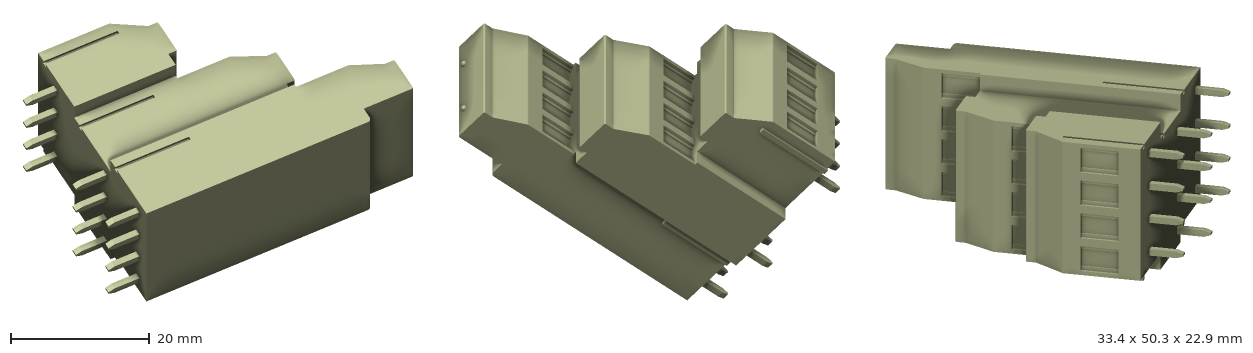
import cadquery as cq


POLES = 4
POLE_PITCH = 5.1
HOUSING_WIDTH = 33.4
MODULE_COUNT = 3
MODULE_PITCH = 11.15
TALL_TOP = 44.75
TIER_RISE = 13.45

MODULE_HEIGHT = POLES * POLE_PITCH
MIDDLE_DROP = POLE_PITCH / 2

CROWN_START = 3.0
CROWN_PITCH = 11.0
CROWN_WIDTH = 5.9
LEDGE_DROP = 1.4
SLOPE_TOP_DROP = 1.55
SLOPE_FOOT_DROP = 6.35
SHOULDER_INSET = 0.5
BACK_SHOULDER_Y = 36.65
CROWN_ROUND = 0.25
SLOPE_FOOT_ROUND = 0.4
BACK_SHOULDER_ROUND = 0.6

WINDOW_DROP = 9.0
WINDOW_LENGTH = 5.7
WINDOW_HEIGHT = 3.8
WINDOW_DEPTH = 0.5
INNER_WINDOW_HEIGHT = 2.7
INNER_WINDOW_DEPTH = 0.75

DOVETAIL_CENTER = 2.0
DOVETAIL_LENGTH = 12.0
DOVETAIL_NECK = 0.55
DOVETAIL_WIDE = 0.85
DOVETAIL_HEIGHT = 0.6
DOVETAIL_LIP = 0.15

PIN_COLUMNS = (5.45, 20.7, 30.8)
PIN_WIDTH = 1.0
PIN_LENGTH = 5.05
PIN_TIP_LENGTH = 1.0
PIN_TIP_HEIGHT = 0.35

NUB_X = 29.55
NUB_RADIUS = 0.5
NUB_POLES = (1, 3)


def module_left(index):
    return index * MODULE_PITCH


def module_floor(index):
    return -MIDDLE_DROP if index == 1 else 0.0


def crown_top(index):
    return TALL_TOP - (MODULE_COUNT - 1 - index) * TIER_RISE


def ledge_y(index):
    return crown_top(index) - LEDGE_DROP


def wall_x(index):
    """X of the window wall, set back where it rises above a neighbouring ledge."""
    return module_left(index) + (SHOULDER_INSET if index > 0 else 0.0)


def pole_center(index, pole):
    return module_floor(index) + (pole + 0.5) * POLE_PITCH


def box(x_range, y_range, z_range):
    (x0, x1), (y0, y1), (z0, z1) = x_range, y_range, z_range
    return cq.Workplane("XY").box(x1 - x0, y1 - y0, z1 - z0, centered=False).translate((x0, y0, z0))


def round_edge(body, x, y, radius):
    """Round the single vertical edge at (x, y)."""
    reach = 0.05
    low, high = -2 * MODULE_HEIGHT, 2 * MODULE_HEIGHT
    selector = cq.selectors.BoxSelector((x - reach, y - reach, low), (x + reach, y + reach, high))
    return body.edges("|Z").edges(selector).fillet(radius)


def housing_module(index):
    left = module_left(index)
    wall = wall_x(index)
    top = crown_top(index)
    crown_left = CROWN_START + index * CROWN_PITCH
    crown_right = crown_left + CROWN_WIDTH
    is_last = index == MODULE_COUNT - 1
    right = HOUSING_WIDTH if is_last else left + MODULE_PITCH
    shoulder = BACK_SHOULDER_Y if is_last else ledge_y(index)

    points = [(left, 0)]
    if index > 0:
        points += [(left, ledge_y(index - 1)), (wall, ledge_y(index - 1))]
    points += [
        (wall, top - SLOPE_FOOT_DROP),
        (crown_left, top - SLOPE_TOP_DROP),
        (crown_left, top),
        (crown_right, top),
        (crown_right, shoulder),
        (right, shoulder),
        (right, 0),
    ]
    body = cq.Workplane("XY").polyline(points).close().extrude(MODULE_HEIGHT)
    body = round_edge(body, wall, top - SLOPE_FOOT_DROP, SLOPE_FOOT_ROUND)
    body = round_edge(body, crown_left, top, CROWN_ROUND)
    body = round_edge(body, crown_right, top, CROWN_ROUND)
    if is_last:
        body = round_edge(body, right, shoulder, BACK_SHOULDER_ROUND)
    return body.translate((0, 0, module_floor(index)))


def wire_window(index, pole):
    """Stepped recess; beside a lower tier it runs down to that tier's ledge."""
    wall = wall_x(index)
    y_end = crown_top(index) - WINDOW_DROP
    y_start = ledge_y(index - 1) if index > 0 else y_end - WINDOW_LENGTH
    z = pole_center(index, pole)
    recess = None
    for height, depth in ((WINDOW_HEIGHT, WINDOW_DEPTH), (INNER_WINDOW_HEIGHT, INNER_WINDOW_DEPTH)):
        step = box((wall, wall + depth), (y_start, y_end), (z - height / 2, z + height / 2))
        recess = step if recess is None else recess.union(step)
    return recess


def dovetail(index, z_root):
    """Bar along Y that widens downward from its root plane, ending in a short straight lip."""
    lip_z = DOVETAIL_LIP - DOVETAIL_HEIGHT
    x = DOVETAIL_CENTER + index * CROWN_PITCH
    return (
        cq.Workplane("XZ", origin=(x, DOVETAIL_LENGTH, z_root))
        .polyline([
            (-DOVETAIL_NECK / 2, 0),
            (DOVETAIL_NECK / 2, 0),
            (DOVETAIL_WIDE / 2, lip_z),
            (DOVETAIL_WIDE / 2, -DOVETAIL_HEIGHT),
            (-DOVETAIL_WIDE / 2, -DOVETAIL_HEIGHT),
            (-DOVETAIL_WIDE / 2, lip_z),
        ])
        .close()
        .extrude(DOVETAIL_LENGTH)
    )


def solder_pin(x, z):
    """Square pin along -Y whose tip narrows in height."""
    half = PIN_WIDTH / 2
    half_tip = PIN_TIP_HEIGHT / 2
    taper_y = PIN_TIP_LENGTH - PIN_LENGTH
    return (
        cq.Workplane("YZ", origin=(x - half, 0, z))
        .polyline([
            (0, half),
            (taper_y, half),
            (-PIN_LENGTH, half_tip),
            (-PIN_LENGTH, -half_tip),
            (taper_y, -half),
            (0, -half),
        ])
        .close()
        .extrude(PIN_WIDTH)
    )


result = housing_module(0)
for module in range(1, MODULE_COUNT):
    result = result.union(housing_module(module))

for module in range(MODULE_COUNT):
    for pole in range(POLES):
        result = result.cut(wire_window(module, pole))
        result = result.union(solder_pin(PIN_COLUMNS[module], pole_center(module, pole)))

for module in range(MODULE_COUNT):
    result = result.cut(dovetail(module, module_floor(module) + MODULE_HEIGHT))

for module in (0, 2):
    result = result.union(dovetail(module, module_floor(module)))

for pole in NUB_POLES:
    nub = cq.Workplane("XY").sphere(NUB_RADIUS).translate((NUB_X, TALL_TOP, pole * POLE_PITCH))
    result = result.union(nub)